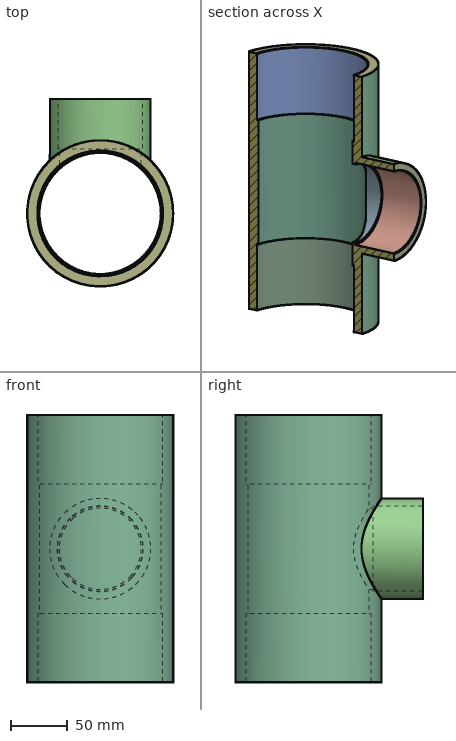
import cadquery as cq

main_length = 236.0
main_outer_diameter = 129.0
main_bore_diameter = 107.0
main_socket_diameter = 110.0
main_socket_depth = 61.0

branch_reach = 101.0
branch_outer_diameter = 89.0
branch_bore_diameter = 72.0
branch_socket_diameter = 75.0
branch_socket_depth = 44.0

mouth_chamfer = 0.5
chamfer_angle = 45.0

top_mouth = cq.Plane(origin=(0, 0, main_length / 2), normal=(0, 0, 1))
bottom_mouth = cq.Plane(origin=(0, 0, -main_length / 2), normal=(0, 0, -1))
branch_mouth = cq.Plane(origin=(0, branch_reach, 0), xDir=(1, 0, 0), normal=(0, 1, 0))


def inward_cylinder(mouth, diameter, depth):
    """Cylinder running from a mouth plane into the part."""
    return cq.Workplane(mouth).circle(diameter / 2).extrude(-depth)


def socket(mouth, diameter, depth):
    """Socket cavity, flared by the chamfer at its mouth."""
    straight = inward_cylinder(mouth, diameter, depth)
    mouth_radius = diameter / 2 + mouth_chamfer
    flare = cq.Workplane(mouth).circle(mouth_radius).extrude(-mouth_chamfer, taper=chamfer_angle)
    return straight.union(flare)


def tee_body():
    """Solid outside shape: main pipe and branch joined."""
    main = inward_cylinder(top_mouth, main_outer_diameter, main_length)
    branch = inward_cylinder(branch_mouth, branch_outer_diameter, branch_reach)
    return main.union(branch)


def main_passage():
    """Through bore with a wider socket at each end of the main pipe."""
    passage = inward_cylinder(top_mouth, main_bore_diameter, main_length)
    for mouth in (top_mouth, bottom_mouth):
        passage = passage.union(socket(mouth, main_socket_diameter, main_socket_depth))
    return passage


def branch_passage():
    """Bore from the main axis with a wider socket at the branch mouth."""
    bore = inward_cylinder(branch_mouth, branch_bore_diameter, branch_reach)
    return bore.union(socket(branch_mouth, branch_socket_diameter, branch_socket_depth))


result = tee_body().cut(main_passage()).cut(branch_passage())